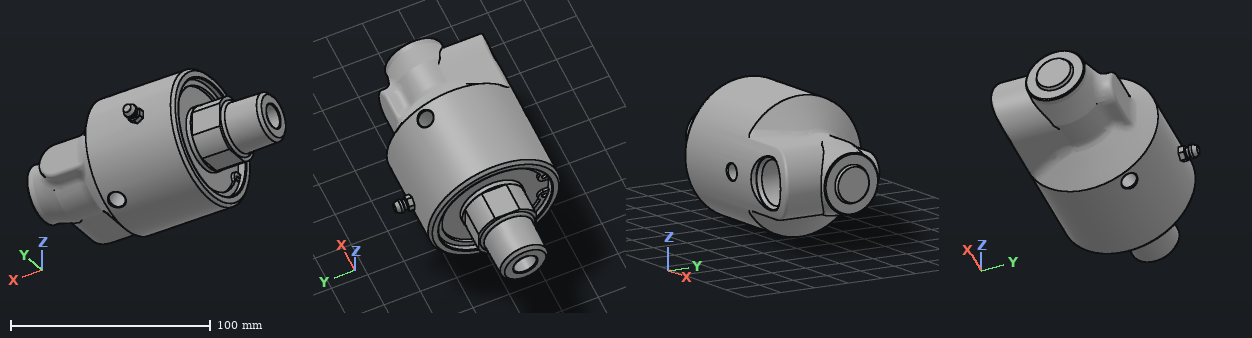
import cadquery as cq
import math


thread_end_x = 20.5
thread_small_dia = 26.4
thread_big_dia = 27.18
tip_chamfer = 1.8
collar_dia = 34.8
flats_start_x = 22.0
shoulder_fillet = flats_start_x - thread_end_x
flats_dia = 34.4
across_flats = 31.6
flats_length = 16.5
bore_dia = 12.7
bore_chamfer = 0.5

body_dia = 73.0
body_start_x = 36.4
body_end_x = 88.8
body_chamfer_length = 1.8
body_chamfer_depth = 1.6
cone_angle = 50.0
neck_dia = 38.9
blend_radius = 6.0
neck_end_x = 120.7
end_dia = 32.0
end_ring_x = 133.5
end_x = 137.2
end_chamfer = 0.6
plug_end_x = 139.0
plug_base_dia = 20.0
plug_tip_dia = 18.4

recess_dia = 62.5
recess_mouth_dia = 63.6
recess_depth = 4.7
ring_thickness = 1.6
ring_inner_dia = 56.3
ear_hole_dia = 2.79
ear_radius = 3.6
ear_hole_y = -28.4
ear_hole_z = 8.5

block_half_height = 18.95
block_arc_x = 114.65
block_edge_fillet = 1.5
port_x = 114.0
port_mouth_dia = 27.8
port_mouth_depth = 3.1
port_entry_dia = 26.7
port_entry_taper = 2.0
port_thread_dia = 23.5
port_end_dia = 22.63
core_dia = 34.0

boss_half_height = 9.8
boss_face_y = 25.5
boss_edge_fillet = 2.0

drain_x = 81.85
drain_dia = 8.6
drain_mouth_dia = 9.8
drain_depth = 15.0
drain_count = 3

nipple_x = 58.05
overall_width = 82.38
nipple_length = overall_width - body_dia
nipple_hex_across_flats = 7.0
nipple_hex_height = 2.9
nipple_embed = 2.0
nipple_shoulder_height = 3.5
nipple_neck_dia = 5.36
nipple_neck_height = 4.9
nipple_head_dia = 7.1
nipple_head_bottom = 5.5
nipple_head_top = 6.9
nipple_tip_dia = 4.6

body_radius = body_dia / 2
neck_radius = neck_dia / 2
cone_end_x = body_end_x + (body_radius - neck_radius) / math.tan(math.radians(cone_angle))
recess_floor_x = body_start_x + recess_depth
block_edge_y = -math.sqrt(body_radius**2 - block_half_height**2)
boss_foot_y = math.sqrt(neck_radius**2 - boss_half_height**2)

joint_overlap = 0.5
margin = 1.0


def disc(dia, start_x, length):
    return cq.Workplane("YZ").workplane(offset=start_x).circle(dia / 2).extrude(length)


def revolved(points):
    """Revolve (x, radius) points around the X axis; the first and last lie on the axis."""
    return cq.Workplane("XY").polyline(points).close().revolve(360, (0, 0), (1, 0))


def revolved_about_y(points, x):
    """Revolve (radius, y) points around the line parallel to Y at the given X."""
    return cq.Workplane("XY").polyline(points).close().revolve(360, (0, 0), (0, 1)).translate((x, 0, 0))


def stadium(half_height, side):
    """Bar with a rounded end, standing on the axis plane and reaching to the side (-1 or 1) in Y."""
    straight = block_arc_x - body_end_x
    plane = cq.Plane((body_end_x, 0, 0), (1, 0, 0), (0, side, 0))
    return (
        cq.Workplane(plane)
        .moveTo(0, -half_height)
        .lineTo(straight, -half_height)
        .threePointArc((straight + half_height, 0), (straight, half_height))
        .lineTo(0, half_height)
        .close()
        .extrude(body_radius)
    )


def housing_shell():
    """Body, cone, neck and closed rear end, turned about the axis."""
    return revolved([
        (body_start_x, 0),
        (body_start_x, body_radius - body_chamfer_depth),
        (body_start_x + body_chamfer_length, body_radius),
        (body_end_x, body_radius),
        (cone_end_x, neck_radius),
        (neck_end_x, neck_radius),
        (end_ring_x, end_dia / 2),
        (end_x - end_chamfer, end_dia / 2),
        (end_x, end_dia / 2 - end_chamfer),
        (end_x, plug_base_dia / 2),
        (plug_end_x, plug_tip_dia / 2),
        (plug_end_x, 0),
    ])


def edges_centred_in(x_range, y_range):
    """Selector for edges whose centre lies in the given X and Y ranges."""
    return cq.selectors.BoxSelector(
        (x_range[0], y_range[0], -body_radius), (x_range[1], y_range[1], body_radius)
    )


def port_block():
    block = stadium(block_half_height, -1).intersect(disc(body_dia, body_end_x, body_dia))
    rim = edges_centred_in((body_end_x + margin, plug_end_x), (-body_radius, block_edge_y + margin / 2))
    return block.edges(rim).fillet(block_edge_fillet)


def rear_boss():
    reach = cq.Workplane("XY").box(plug_end_x, 2 * boss_face_y, body_dia, centered=(False, True, True))
    boss = stadium(boss_half_height, 1).intersect(reach)
    rim = edges_centred_in(
        (body_end_x + margin, plug_end_x), (boss_face_y - margin / 2, boss_face_y + margin / 2)
    )
    return boss.edges(rim).fillet(boss_edge_fillet)


def housing():
    """Casting with fillets where cone, neck, block and boss run into each other."""
    casting = housing_shell().union(port_block()).union(rear_boss())
    cone_foot = edges_centred_in(
        (body_end_x + margin, cone_end_x + margin), (block_edge_y + margin, body_radius)
    )
    boss_foot = edges_centred_in(
        (cone_end_x + margin, end_ring_x - margin), (boss_foot_y - margin, boss_foot_y + 2 * margin)
    )
    return casting.edges(cone_foot + boss_foot).fillet(blend_radius)


def shaft():
    """Taper-threaded tip, shoulder fillet, four flats and a round collar."""
    thread = revolved([
        (0, 0),
        (0, thread_small_dia / 2 - tip_chamfer),
        (tip_chamfer, thread_small_dia / 2),
        (thread_end_x, thread_big_dia / 2),
        (flats_start_x, thread_big_dia / 2),
        (flats_start_x, 0),
    ])
    shoulder = (
        cq.Workplane("XY")
        .moveTo(thread_end_x, 0)
        .lineTo(thread_end_x, thread_big_dia / 2)
        .radiusArc((flats_start_x, thread_big_dia / 2 + shoulder_fillet), shoulder_fillet)
        .lineTo(flats_start_x, 0)
        .close()
        .revolve(360, (0, 0), (1, 0))
    )
    square = (
        cq.Workplane("YZ")
        .workplane(offset=flats_start_x)
        .rect(across_flats, across_flats)
        .extrude(flats_length)
    )
    flats = disc(flats_dia, flats_start_x, flats_length).intersect(square)
    collar_start = flats_start_x + flats_length
    collar = disc(collar_dia, collar_start, recess_floor_x - collar_start + joint_overlap)
    return thread.union(shoulder).union(flats).union(collar)


def recess():
    """Front recess with a chamfered mouth."""
    mouth_chamfer = (recess_mouth_dia - recess_dia) / 2
    return revolved([
        (body_start_x, 0),
        (body_start_x, recess_mouth_dia / 2),
        (body_start_x + mouth_chamfer, recess_dia / 2),
        (recess_floor_x, recess_dia / 2),
        (recess_floor_x, 0),
    ])


def retaining_ring():
    """Internal snap ring on the recess floor, open toward -Y between two pierced ears."""
    start_x = recess_floor_x - ring_thickness
    plane = cq.Workplane("YZ").workplane(offset=start_x)
    outer_dia = recess_dia + 2 * joint_overlap
    gap_half = ear_hole_z - ear_radius
    ear_holes = [(ear_hole_y, -ear_hole_z), (ear_hole_y, ear_hole_z)]

    ring = plane.circle(outer_dia / 2).circle(ring_inner_dia / 2).extrude(ring_thickness)
    ears = plane.pushPoints(ear_holes).circle(ear_radius).extrude(ring_thickness)
    for side in (-1, 1):
        tab = (
            plane.center(ear_hole_y - ear_radius, side * ear_hole_z)
            .rect(2 * ear_radius, 2 * ear_radius)
            .extrude(ring_thickness)
        )
        ears = ears.union(tab)
    ears = ears.intersect(disc(outer_dia, start_x, ring_thickness))
    gap = plane.center(-recess_dia / 2, 0).rect(recess_dia / 2, 2 * gap_half).extrude(ring_thickness)
    holes = plane.pushPoints(ear_holes).circle(ear_hole_dia / 2).extrude(ring_thickness)
    return ring.union(ears).cut(gap).cut(holes)


def shaft_bore():
    chamfer_radius = bore_dia / 2 + bore_chamfer
    return revolved([
        (0, 0),
        (0, chamfer_radius),
        (bore_chamfer, bore_dia / 2),
        (port_x, bore_dia / 2),
        (port_x, 0),
    ])


def port():
    """Blind side port with a counterbore, a countersink and a slightly tapered thread hole."""
    ledge_y = -body_radius + port_mouth_depth
    cavity = revolved_about_y([
        (0, -body_radius),
        (port_mouth_dia / 2, -body_radius),
        (port_mouth_dia / 2, ledge_y),
        (port_entry_dia / 2, ledge_y),
        (port_thread_dia / 2, ledge_y + port_entry_taper),
        (port_end_dia / 2, -core_dia / 2),
        (port_end_dia / 2, 0),
        (0, 0),
    ], port_x)
    core = disc(core_dia, body_end_x, plug_end_x - body_end_x)
    return cavity.cut(core)


def drain_hole():
    """Blind radial hole with a chamfered mouth, drilled from -Y."""
    mouth_radius = drain_mouth_dia / 2
    radius = drain_dia / 2
    return revolved_about_y([
        (0, -body_radius),
        (mouth_radius, -body_radius),
        (radius, -body_radius + mouth_radius - radius),
        (radius, -body_radius + drain_depth),
        (0, -body_radius + drain_depth),
    ], drain_x)


def grease_nipple():
    seat = cq.Workplane(cq.Plane((nipple_x, body_radius, 0), (0, 0, 1), (0, 1, 0)))
    hex_corners_dia = nipple_hex_across_flats / math.cos(math.pi / 6)
    hexagon = (
        seat.workplane(offset=-nipple_embed)
        .polygon(6, hex_corners_dia)
        .extrude(nipple_embed + nipple_hex_height)
    )
    head = revolved_about_y([
        (0, 0),
        (nipple_hex_across_flats / 2, 0),
        (nipple_hex_across_flats / 2, nipple_hex_height),
        (nipple_neck_dia / 2, nipple_shoulder_height),
        (nipple_neck_dia / 2, nipple_neck_height),
        (nipple_head_dia / 2, nipple_head_bottom),
        (nipple_head_dia / 2, nipple_head_top),
        (nipple_tip_dia / 2, nipple_length),
        (0, nipple_length),
    ], nipple_x)
    return hexagon.union(head.translate((0, body_radius, 0)))


result = housing().cut(recess()).union(retaining_ring()).union(shaft())
result = result.cut(shaft_bore()).cut(port())
for index in range(drain_count):
    angle = index * 360 / drain_count
    result = result.cut(drain_hole().rotate((0, 0, 0), (1, 0, 0), angle))
result = result.union(grease_nipple())